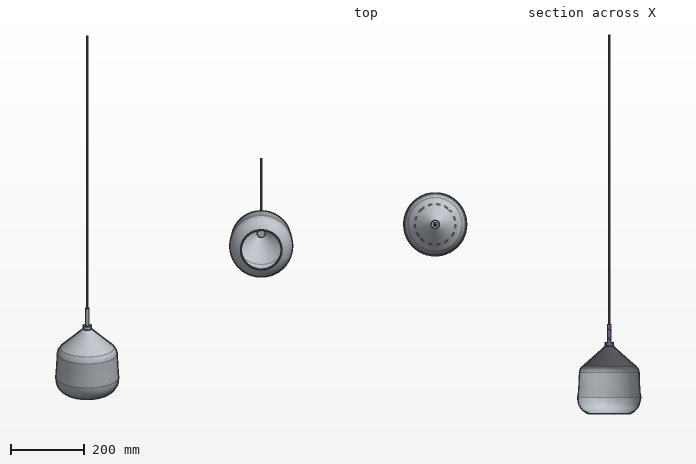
import cadquery as cq

total_height = 1030.0

shade_height = 184.0
neck_radius = 11.0
shoulder_radius = 81.0
shoulder_height = 123.0
shoulder_fillet = 26.0
belly_diameter = 172.0
belly_height = 44.0
rim_radius = 57.0
wall_thickness = 1.0

cap_radius = 11.0
cap_height = 9.0
tube_radius = 5.0
tube_length = 49.0
cord_radius = 1.5


def make_shade():
    """Conical top, slightly flared wall and rounded underside, hollowed to a thin wall."""
    profile = (
        cq.Workplane("XZ")
        .moveTo(0, shade_height)
        .lineTo(neck_radius, shade_height)
        .lineTo(shoulder_radius, shoulder_height)
        .lineTo(belly_diameter / 2, belly_height)
        .tangentArcPoint((rim_radius, 0), relative=False)
        .lineTo(0, 0)
        .close()
    )
    body = profile.revolve(360, (0, 0, 0), (0, 1, 0))
    shoulder_edge = cq.NearestToPointSelector((0, 0, shoulder_height))
    rounded = body.edges("%CIRCLE").edges(shoulder_edge).fillet(shoulder_fillet)
    return rounded.faces("<Z").shell(-wall_thickness)


def make_suspension():
    """Cap resting on the shade, with the stiff tube and the thin cord above it."""
    cord_length = total_height - shade_height - cap_height - tube_length
    return (
        cq.Workplane("XY", origin=(0, 0, shade_height))
        .circle(cap_radius).extrude(cap_height)
        .faces(">Z").workplane().circle(tube_radius).extrude(tube_length)
        .faces(">Z").workplane().circle(cord_radius).extrude(cord_length)
    )


shade = make_shade()
suspension = make_suspension()

result = cq.Compound.makeCompound([shade.val(), suspension.val()])